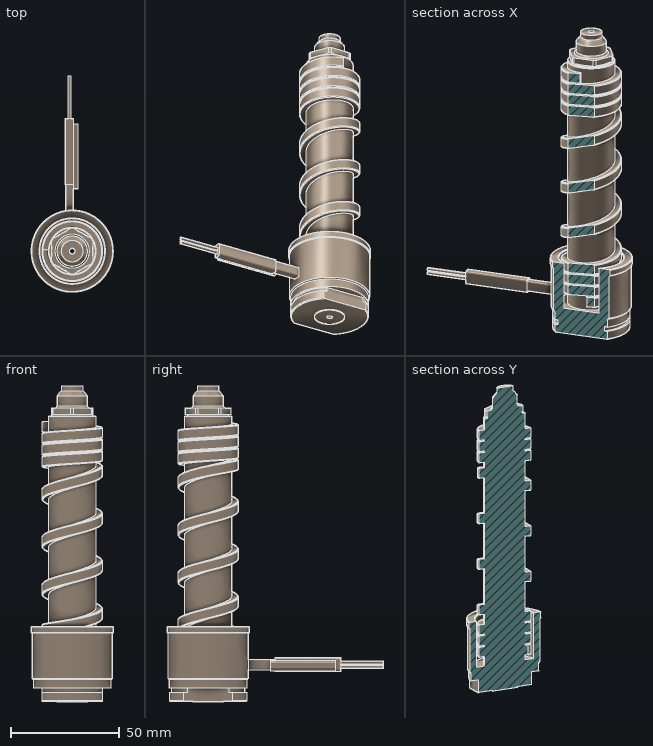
import cadquery as cq
import math

TOTAL_HEIGHT = 146.2
BORE_RADIUS = 1.25

BASE_RADIUS = 18.0
BASE_TOP = 11.0
SPIGOT_RADIUS = 7.0
SPIGOT_HEIGHT = 0.4
GROOVE_RADIUS = 17.0
GROOVE_BOTTOM = 4.5
GROOVE_TOP = 6.5
FLAT_DISTANCE = 14.0
BASE_CHAMFER = 0.4

SHELL_RADIUS = 18.6
SHELL_BOTTOM = 10.4
SHELL_CHAMFER = 0.6
SHELL_TOP = 35.1
FLANGE_RADIUS = 19.0
FLANGE_HEIGHT = 3.2
FLANGE_CHAMFER = 0.3
RECESS_RADIUS = 15.0
RECESS_CHAMFER = 0.35
RECESS_FLOOR = 13.0

SHAFT_RADIUS = 11.0
SHAFT_TOP = 132.3
SHAFT_CHAMFER = 0.3
COLLAR_RADIUS = 9.5
COLLAR_HEIGHT = 0.6
HEX_ACROSS_FLATS = 19.0
HEX_CORNER_RADIUS = 10.6
HEX_HEIGHT = 3.0
NECK_RADIUS = 7.0
NECK_FLARE = 0.9
NECK_TOP = 141.5
TIP_RADIUS = 5.0
TIP_FLARE_RADIUS = 5.9
TIP_FLARE_TOP = 143.9
TIP_FLARE_BOTTOM = 143.0

COIL_RADIUS = 14.0
COIL_INNER_RADIUS = 10.8
BAND_HEIGHT = 5.0
BAND_CHAMFER = 0.4
COIL_START_HEIGHT = 127.3
COIL_START_ANGLE = 177.0
CLOSE_PITCH = 5.4
OPEN_PITCH = 22.0
UPPER_CLOSE_SWEEP = 1164.0
BLEND_SWEEP = 126.0
OPEN_SWEEP = 1089.0
LOWER_CLOSE_SWEEP = 1080.0
COIL_STEP = 15.0

LEAD_X = -1.3
LEAD_Z = 17.35
CABLE_SIZE = (3.6, 5.0)
CABLE_ROUNDING = 0.75
CABLE_START = 17.0
SLEEVE_SIZE = (4.0, 6.5)
SLEEVE_ROUNDING = 1.1
SLEEVE_START = 30.8
SLEEVE_END = 61.3
SIDE_SLEEVE_X = 1.1
SIDE_SLEEVE_Z = 16.8
SIDE_SLEEVE_SIZE = (3.2, 4.8)
SIDE_SLEEVE_ROUNDING = 1.5
SIDE_SLEEVE_START = 28.8
SIDE_SLEEVE_END = 58.8
WIRE_RADIUS = 0.75
WIRE_SPACING = 1.9
WIRE_END = 81.0


def cylinder(radius, bottom, top):
    return cq.Workplane("XY").workplane(offset=bottom).circle(radius).extrude(top - bottom)


def make_base():
    rim = cylinder(BASE_RADIUS, SPIGOT_HEIGHT, GROOVE_BOTTOM).faces("<Z").chamfer(BASE_CHAMFER)
    foot = rim.union(cylinder(GROOVE_RADIUS, GROOVE_BOTTOM, GROOVE_TOP))
    flats = cq.Workplane("XY").box(2 * FLAT_DISTANCE, 2 * FLANGE_RADIUS, 2 * GROOVE_TOP)
    spigot = cylinder(SPIGOT_RADIUS, 0, SPIGOT_HEIGHT)
    return foot.intersect(flats).union(spigot).union(cylinder(BASE_RADIUS, GROOVE_TOP, BASE_TOP))


def make_shell():
    flange = cylinder(FLANGE_RADIUS, SHELL_TOP - FLANGE_HEIGHT, SHELL_TOP).edges().chamfer(FLANGE_CHAMFER)
    shell = cylinder(SHELL_RADIUS, SHELL_BOTTOM, SHELL_TOP - FLANGE_HEIGHT)
    shell = shell.faces("<Z").chamfer(SHELL_CHAMFER).union(flange)
    recess = cylinder(RECESS_RADIUS, RECESS_FLOOR, SHELL_TOP)
    mouth = cq.Workplane("XY").workplane(offset=SHELL_TOP).circle(RECESS_RADIUS + RECESS_CHAMFER)
    mouth = mouth.workplane(offset=-RECESS_CHAMFER).circle(RECESS_RADIUS).loft()
    return shell.cut(recess).cut(mouth)


def make_shaft():
    return cylinder(SHAFT_RADIUS, BASE_TOP, SHAFT_TOP).faces(">Z").chamfer(SHAFT_CHAMFER)


def make_hexagon():
    bottom = SHAFT_TOP + COLLAR_HEIGHT
    top = bottom + HEX_HEIGHT
    corner_diameter = HEX_ACROSS_FLATS / math.cos(math.pi / 6)
    prism = (
        cq.Workplane("XY")
        .workplane(offset=bottom)
        .transformed(rotate=(0, 0, 90))
        .polygon(6, corner_diameter)
        .extrude(HEX_HEIGHT)
    )
    rounded = prism.intersect(cylinder(HEX_CORNER_RADIUS, bottom, top))
    return rounded.union(cylinder(COLLAR_RADIUS, SHAFT_TOP, bottom))


def make_tip():
    hex_top = SHAFT_TOP + COLLAR_HEIGHT + HEX_HEIGHT
    return (
        cq.Workplane("XZ")
        .moveTo(0, hex_top)
        .lineTo(NECK_RADIUS + NECK_FLARE, hex_top)
        .lineTo(NECK_RADIUS, hex_top + NECK_FLARE)
        .lineTo(NECK_RADIUS, NECK_TOP)
        .lineTo(TIP_FLARE_RADIUS, TIP_FLARE_BOTTOM)
        .lineTo(TIP_RADIUS, TIP_FLARE_TOP)
        .lineTo(TIP_RADIUS, TOTAL_HEIGHT)
        .lineTo(0, TOTAL_HEIGHT)
        .close()
        .revolve(360, (0, 0, 0), (0, 1, 0))
    )


def coil_drop(sweep):
    """Distance the band has descended after winding through `sweep` degrees."""
    close_slope = CLOSE_PITCH / 360
    open_slope = OPEN_PITCH / 360
    stretches = (
        (UPPER_CLOSE_SWEEP, close_slope, close_slope),
        (BLEND_SWEEP, close_slope, open_slope),
        (OPEN_SWEEP, open_slope, open_slope),
        (BLEND_SWEEP, open_slope, close_slope),
        (LOWER_CLOSE_SWEEP, close_slope, close_slope),
    )
    drop = 0
    for length, start_slope, end_slope in stretches:
        part = min(max(sweep, 0), length)
        drop += start_slope * part + (end_slope - start_slope) * part**2 / (2 * length)
        sweep -= length
    return drop


def coil_edge(radius, rise):
    """Edge of the band at `radius`, `rise` above the band's middle line."""
    total_sweep = UPPER_CLOSE_SWEEP + OPEN_SWEEP + LOWER_CLOSE_SWEEP + 2 * BLEND_SWEEP
    steps = round(total_sweep / COIL_STEP)
    points = []
    for index in range(steps + 1):
        sweep = total_sweep * index / steps
        angle = math.radians(COIL_START_ANGLE - sweep)
        height = COIL_START_HEIGHT + rise - coil_drop(sweep)
        points.append(cq.Vector(radius * math.cos(angle), radius * math.sin(angle), height))
    return cq.Edge.makeSpline(points)


def make_coil():
    half = BAND_HEIGHT / 2
    chamfer_radius = COIL_RADIUS - BAND_CHAMFER
    chamfer_rise = half - BAND_CHAMFER
    corners = (
        (COIL_INNER_RADIUS, -half),
        (chamfer_radius, -half),
        (COIL_RADIUS, -chamfer_rise),
        (COIL_RADIUS, chamfer_rise),
        (chamfer_radius, half),
        (COIL_INNER_RADIUS, half),
    )
    edges = [coil_edge(radius, rise) for radius, rise in corners]
    neighbours = list(zip(edges, edges[1:] + edges[:1]))
    faces = [cq.Face.makeRuledSurface(first, second) for first, second in neighbours]
    for position in (0, 1):
        outline = [edge.positionAt(position) for edge in edges]
        faces.append(cq.Face.makeFromWires(cq.Wire.makePolygon(outline, close=True)))
    return cq.Workplane(cq.Solid.makeSolid(cq.Shell.makeShell(faces)))


def rounded_bar(x, z, size, rounding, start, end):
    width, height = size
    bar = cq.Workplane("XY").box(width, end - start, height).edges("|Y").fillet(rounding)
    return bar.translate((x, (start + end) / 2, z))


def make_lead():
    lead = rounded_bar(LEAD_X, LEAD_Z, CABLE_SIZE, CABLE_ROUNDING, CABLE_START, SLEEVE_START)
    lead = lead.union(rounded_bar(LEAD_X, LEAD_Z, SLEEVE_SIZE, SLEEVE_ROUNDING, SLEEVE_START, SLEEVE_END))
    side_sleeve = rounded_bar(
        SIDE_SLEEVE_X,
        SIDE_SLEEVE_Z,
        SIDE_SLEEVE_SIZE,
        SIDE_SLEEVE_ROUNDING,
        SIDE_SLEEVE_START,
        SIDE_SLEEVE_END,
    )
    lead = lead.union(side_sleeve)
    for side in (-1, 1):
        centre_z = LEAD_Z + side * WIRE_SPACING / 2
        wire = (
            cq.Workplane("XZ", origin=(LEAD_X, SLEEVE_END, centre_z))
            .circle(WIRE_RADIUS)
            .extrude(SLEEVE_END - WIRE_END)
        )
        lead = lead.union(wire)
    return lead


result = make_base().union(make_shell()).union(make_shaft()).union(make_hexagon()).union(make_tip())
result = result.union(make_lead()).union(make_coil())
result = result.cut(cylinder(BORE_RADIUS, 0, TOTAL_HEIGHT))